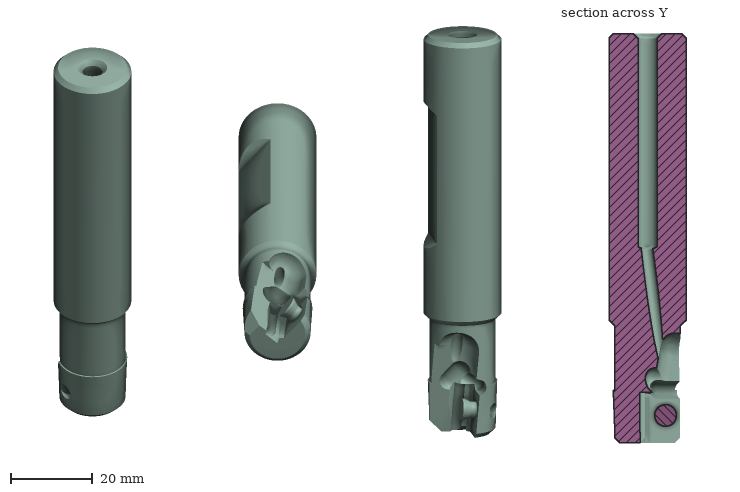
import cadquery as cq
import math

total_length = 100.3
shank_radius = 9.5
top_chamfer = 1.1
shank_bottom_z = 30.1
neck_radius = 8.1
neck_top_z = 28.8
head_top_z = 13.0
head_top_radius = 8.5
bottom_chamfer = 1.3

flat_y = 7.4
flat_low_z = 49.1
flat_high_z = 81.4
flat_end_run = shank_radius - flat_y

countersink_radius = 3.6
bore_radius = 2.4
countersink_depth = countersink_radius - bore_radius
bore_bottom_z = 48.1
coolant_radius = 1.4
coolant_exit = cq.Vector(-3.0, 2.0, 22.5)
coolant_entry = cq.Vector(0.2, 0.4, bore_bottom_z)
coolant_overrun = 4.0

chip_center_y = 2.3
chip_center_z = 22.8
chip_end_radius = 5.0
chip_floor_x = -3.0
chip_floor_slope = 10.0
chip_wall_lean = 6.0
chip_floor_fillet = 3.5

rake_angle = 5.0
rake_pivot_z = 6.7
seat_y = -2.4
seat_top_z = 12.3
seat_floor_x = 0.6
seat_corner_bevel = 0.9
seat_foot_bevel = 1.3
seat_back_y = 3.6
seat_back_x = -0.4
groove_radius = 1.3
groove_center_y = 1.0

screw_x = -4.4
screw_face_y = 1.1
screw_rim_radius = 2.7
screw_rim_thickness = 0.5
screw_body_radius = 2.0
screw_cone_end_y = -1.1
screw_shank_radius = 1.6
screw_end_y = -5.7
screw_exit_radius = 1.9

large_relief_radius = 2.6
large_relief_start = (3.4, 13.4)
large_relief_end = (1.2, 15.8)
large_relief_x = 0.5
small_relief_radius = 1.9
small_relief_start = (0.6, 14.2)
small_relief_end = (-2.7, 12.8)
small_relief_x = -0.6
relief_fillet_ratio = 0.95

foot_cut_y = 5.0

clear = 15.0


def turned_blank():
    outline = [
        (0, 0),
        (neck_radius - bottom_chamfer, 0),
        (neck_radius, bottom_chamfer),
        (head_top_radius, head_top_z),
        (neck_radius, head_top_z),
        (neck_radius, neck_top_z),
        (shank_radius, shank_bottom_z),
        (shank_radius, total_length - top_chamfer),
        (shank_radius - top_chamfer, total_length),
        (0, total_length),
    ]
    return cq.Workplane("XZ").polyline(outline).close().revolve(360, (0, 0, 0), (0, 1, 0))


def clamping_flat():
    outline = [
        (flat_y, flat_low_z),
        (shank_radius, flat_low_z - flat_end_run),
        (shank_radius, flat_high_z + flat_end_run),
        (flat_y, flat_high_z),
    ]
    return cq.Workplane("YZ").polyline(outline).close().extrude(clear, both=True)


def coolant_channel():
    bore_outline = [
        (0, bore_bottom_z - bore_radius / 2),
        (bore_radius, bore_bottom_z),
        (bore_radius, total_length - countersink_depth),
        (countersink_radius, total_length),
        (0, total_length),
    ]
    bore = cq.Workplane("XZ").polyline(bore_outline).close().revolve(360, (0, 0, 0), (0, 1, 0))
    run = coolant_exit - coolant_entry
    length = run.Length + coolant_overrun
    channel = cq.Solid.makeCylinder(coolant_radius, length, coolant_entry, run)
    return bore.union(cq.Workplane(channel))


def chip_pocket():
    reach = chip_center_z + clear
    round_end = (
        cq.Workplane("YZ")
        .center(0, -reach / 2)
        .slot2D(reach + 2 * chip_end_radius, 2 * chip_end_radius, 90)
        .extrude(-clear)
        .faces(">X")
        .edges()
        .fillet(chip_floor_fillet)
    )
    open_side = cq.Workplane("XY").box(clear, clear, reach, centered=False).translate((-clear, 0, -reach))
    tool = round_end.union(open_side)
    tool = tool.rotate((0, 0, 0), (1, 0, 0), chip_wall_lean)
    tool = tool.rotate((0, 0, 0), (0, 1, 0), -chip_floor_slope)
    return tool.translate((chip_floor_x, chip_center_y, chip_center_z))


def raked(body):
    """Tilts a body about the X direction so that its +Y side rises."""
    return body.rotate((0, 0, rake_pivot_z), (1, 0, rake_pivot_z), rake_angle)


def insert_seat():
    groove_low_y = groove_center_y - groove_radius
    groove_high_y = groove_center_y + groove_radius
    tool = (
        cq.Workplane("XY")
        .workplane(offset=-clear)
        .moveTo(-clear, seat_y)
        .lineTo(seat_floor_x - seat_corner_bevel, seat_y)
        .lineTo(seat_floor_x, seat_y + seat_corner_bevel)
        .lineTo(seat_floor_x, groove_low_y)
        .threePointArc((seat_floor_x + groove_radius, groove_center_y), (seat_floor_x, groove_high_y))
        .lineTo(seat_back_x, seat_back_y)
        .lineTo(-clear, seat_back_y)
        .close()
        .extrude(clear + seat_top_z)
    )
    return raked(tool)


def seat_foot_cut():
    """A bevel along the lower edge of the seat floor."""
    outline = [
        (seat_floor_x, seat_foot_bevel),
        (seat_floor_x + seat_foot_bevel, 0),
        (seat_floor_x, 0),
    ]
    width = groove_center_y + groove_radius - seat_y - seat_corner_bevel
    cut = cq.Workplane("XZ", origin=(0, groove_center_y + groove_radius, 0)).polyline(outline).close()
    return cut.extrude(width)


def relief(start, end, radius, floor_x):
    """A round-ended slot between two (y, z) points, open toward -X, with a rounded floor edge."""
    run_y = end[0] - start[0]
    run_z = end[1] - start[1]
    angle = math.degrees(math.atan2(run_z, run_y))
    middle = ((start[0] + end[0]) / 2, (start[1] + end[1]) / 2)
    return (
        cq.Workplane("YZ")
        .center(*middle)
        .slot2D(math.hypot(run_y, run_z) + 2 * radius, 2 * radius, angle)
        .extrude(-clear)
        .faces(">X")
        .edges()
        .fillet(relief_fillet_ratio * radius)
        .translate((floor_x, 0, 0))
    )


def foot_cut():
    outline = [(foot_cut_y, 0), (foot_cut_y + clear, clear), (foot_cut_y + clear, 0)]
    return cq.Workplane("YZ").polyline(outline).close().extrude(clear, both=True)


def screw_hole():
    hole = (
        cq.Workplane("XZ", origin=(screw_x, seat_y, rake_pivot_z))
        .circle(screw_shank_radius)
        .extrude(clear)
    )
    exit_bore = (
        cq.Workplane("XZ", origin=(screw_x, screw_end_y, rake_pivot_z))
        .circle(screw_exit_radius)
        .extrude(clear)
    )
    return raked(hole.union(exit_bore))


def make_holder():
    holder = turned_blank()
    holder = holder.cut(clamping_flat())
    holder = holder.cut(chip_pocket())
    holder = holder.cut(coolant_channel())
    holder = holder.cut(insert_seat())
    holder = holder.cut(seat_foot_cut())
    holder = holder.cut(relief(large_relief_start, large_relief_end, large_relief_radius, large_relief_x))
    holder = holder.cut(relief(small_relief_start, small_relief_end, small_relief_radius, small_relief_x))
    holder = holder.cut(foot_cut())
    return holder.cut(screw_hole())


def make_screw():
    outline = [
        (0, screw_face_y),
        (screw_rim_radius, screw_face_y),
        (screw_rim_radius, screw_face_y - screw_rim_thickness),
        (screw_body_radius, screw_cone_end_y),
        (screw_body_radius, seat_y),
        (screw_shank_radius, seat_y),
        (screw_shank_radius, screw_end_y),
        (0, screw_end_y),
    ]
    screw = cq.Workplane("XY").polyline(outline).close().revolve(360, (0, 0, 0), (0, 1, 0))
    return raked(screw.translate((screw_x, 0, rake_pivot_z)))


holder = make_holder()
screw = make_screw()
result = cq.Compound.makeCompound([holder.val(), screw.val()])